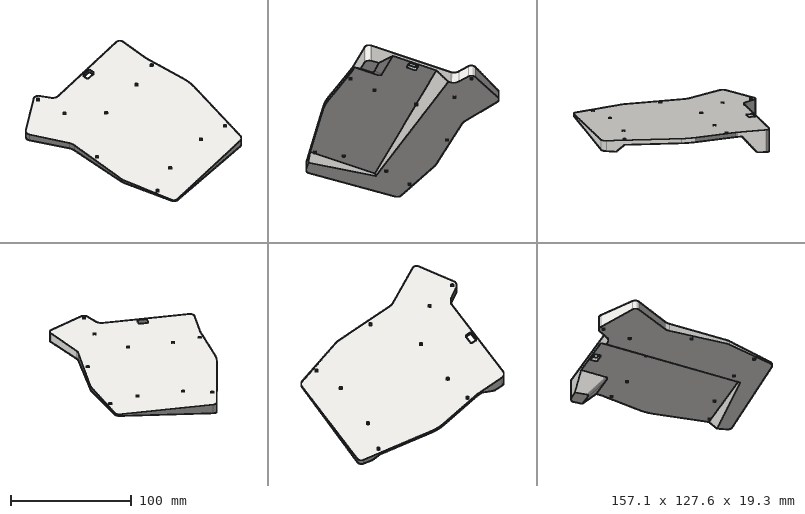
import cadquery as cq
import math

width = 157.2
total_height = 19.5
floor_thickness = 4.1
margin = 31.5

underside_base = -10.0
slope_x = math.tan(math.radians(4.0))
slope_y = math.tan(math.radians(4.9))

left_edge = 14.0
back_edge = 122.6
front_edge = 17.0
corner_radius = 4.1
neck_radius = 6.5
front_bend_radius = 9.5
peak_radius = 37.7
outline_corners = [
    (-1.4, 33.5, corner_radius),
    (18.4, -1.1, corner_radius),
    (54.5, front_edge, front_bend_radius),
    (110.3, front_edge, front_bend_radius),
    (width, 29.4, corner_radius),
    (width, 114.3, corner_radius),
    (86.6, 128.3, peak_radius),
    (43.4, back_edge, front_bend_radius),
    (left_edge, back_edge, corner_radius),
    (left_edge, 42.5, neck_radius),
]

recess_front = 59.3
recess_right = 138.8
recess_lean = 50.0
foot_right = 38.5
foot_front = 98.7
foot_lean = 41.0
foot_edge_radius = 3.1

screw_diameter = 2.2
screw_places = [
    (51.5, 120.4), (137.8, 114.1),
    (55.0, 97.1), (131.7, 90.7),
    (55.0, 59.3), (131.7, 52.2),
    (29.5, 36.0), (3.8, 32.0),
    (139.1, 27.8), (78.9, 20.6),
]
window_center = (18.2, 78.9)
window_size = (5.7, 8.3)
window_radius = 1.0


def underside(x, y):
    return underside_base + slope_x * x - slope_y * y


def make_plate():
    points = [(x, y) for x, y, _ in outline_corners]
    depth = total_height + margin
    plate = cq.Workplane("XY").polyline(points).close().extrude(-depth)
    for x, y, radius in outline_corners:
        nearest = cq.selectors.NearestToPointSelector((x, y, -depth / 2))
        plate = plate.edges("|Z").edges(nearest).fillet(radius)
    return plate


def below_underside():
    """Everything under the tilted plane that the tray stands on."""
    plane = cq.Plane(
        origin=(0, 0, underside(0, 0)),
        xDir=(1, 0, slope_x),
        normal=(-slope_x, slope_y, 1),
    )
    return cq.Workplane(plane).rect(4 * width, 4 * width).extrude(-2 * margin)


def leaning_block(x_start, x_end, y_start, y_end, x_shift, y_shift):
    """Block below the floor; x_end and y_start move by the shifts per unit of depth."""
    top = -floor_thickness
    bottom = -total_height - margin
    depth = top - bottom
    x_profile = [
        (x_start, top), (x_end, top),
        (x_end + x_shift * depth, bottom), (x_start, bottom),
    ]
    y_profile = [
        (y_start, top), (y_end, top),
        (y_end, bottom), (y_start + y_shift * depth, bottom),
    ]
    across = cq.Workplane("XZ").polyline(x_profile).close().extrude(2 * width, both=True)
    along = cq.Workplane("YZ").polyline(y_profile).close().extrude(2 * width, both=True)
    return across.intersect(along)


def make_recess():
    outer_left = left_edge - margin
    outer_back = back_edge + margin
    widening = math.tan(math.radians(recess_lean))
    narrowing = math.tan(math.radians(foot_lean))
    opening = leaning_block(outer_left, recess_right, recess_front, outer_back, widening, -widening)
    foot = leaning_block(outer_left, foot_right, foot_front, outer_back, -narrowing, narrowing)
    inner_edge = cq.selectors.NearestToPointSelector((
        foot_right - narrowing * (total_height + margin) / 2,
        foot_front + narrowing * (total_height + margin) / 2,
        -(total_height + margin) / 2,
    ))
    foot = foot.edges(inner_edge).fillet(foot_edge_radius)
    return opening.cut(foot)


def make_holes():
    depth = total_height + margin
    screws = cq.Workplane("XY").pushPoints(screw_places).circle(screw_diameter / 2).extrude(-depth)
    window = cq.Workplane("XY").center(*window_center).rect(*window_size).extrude(-depth)
    return screws.union(window.edges("|Z").fillet(window_radius))


result = make_plate().cut(below_underside()).cut(make_recess()).cut(make_holes())